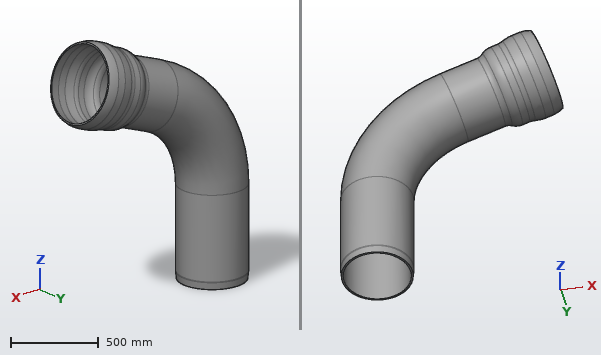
import cadquery as cq
import math

pipe_diameter = 420.0
bore_diameter = 390.0
leg_length = 576.0
bend_radius = 677.0
bend_angle = 70

blend_start = 49.0
taper_start = 44.0
spigot_end_diameter = 410.0

neck_start = 230.0
neck_inflection = 268.0
collar_start = 325.0
collar_end = 370.0
flare_inflection = 401.0
bell_start = 461.0
bell_end = 514.0

collar_outer, collar_inner = 481.0, 450.0
bell_outer, bell_inner = 510.0, 480.0
mouth_outer, mouth_inner = 481.0, 461.0


def s_curve(profile, start, inflection, end):
    """Join two axis-parallel lines by a pair of tangent arcs; points are (radius, station)."""
    fraction = (inflection - start[1]) / (end[1] - start[1])
    middle = (start[0] + fraction * (end[0] - start[0]), inflection)
    return (
        profile
        .tangentArcPoint(middle, relative=False)
        .tangentArcPoint(end, relative=False)
    )


def socket_body(pipe, collar, bell, mouth):
    """Solid of revolution about Z for the leg and socket, from its four diameters."""
    pipe_r, collar_r, bell_r, mouth_r = pipe / 2, collar / 2, bell / 2, mouth / 2
    profile = cq.Workplane("XZ").lineTo(pipe_r, 0).lineTo(pipe_r, neck_start)
    profile = s_curve(profile, (pipe_r, neck_start), neck_inflection, (collar_r, collar_start))
    profile = profile.lineTo(collar_r, collar_end)
    profile = s_curve(profile, (collar_r, collar_end), flare_inflection, (bell_r, bell_start))
    profile = (
        profile
        .lineTo(bell_r, bell_end)
        .tangentArcPoint((mouth_r, leg_length), relative=False)
        .lineTo(0, leg_length)
        .close()
    )
    return profile.revolve(360, (0, 0, 0), (0, 1, 0))


def place_after_bend(body):
    """Move a body standing on the origin to the end of the bend, along the bent axis."""
    angle = math.radians(bend_angle)
    end_x = bend_radius * (1 - math.cos(angle))
    end_z = leg_length + bend_radius * math.sin(angle)
    return body.rotate((0, 0, 0), (0, 1, 0), bend_angle).translate((end_x, 0, end_z))


def bend_body(diameter):
    """Solid elbow that starts at the top of the vertical leg and turns toward +X."""
    return (
        cq.Workplane("XY", origin=(0, 0, leg_length))
        .circle(diameter / 2)
        .revolve(bend_angle, (bend_radius, 0, 0), (bend_radius, 1, 0))
    )


end_inset = (pipe_diameter - spigot_end_diameter) / 2
taper_slope = end_inset / (taper_start + (blend_start - taper_start) / 2)
blend_inset = (blend_start - taper_start) * math.tan(math.atan(taper_slope) / 2)
taper_top_radius = pipe_diameter / 2 - blend_inset
spigot = (
    cq.Workplane("XZ")
    .lineTo(spigot_end_diameter / 2, 0)
    .lineTo(taper_top_radius, taper_start)
    .tangentArcPoint((pipe_diameter / 2, blend_start), relative=False)
    .lineTo(pipe_diameter / 2, leg_length)
    .lineTo(0, leg_length)
    .close()
    .revolve(360, (0, 0, 0), (0, 1, 0))
)
spigot_bore = cq.Workplane("XY").circle(bore_diameter / 2).extrude(leg_length)

leg = spigot.cut(spigot_bore)
bend = bend_body(pipe_diameter).cut(bend_body(bore_diameter))
socket = socket_body(pipe_diameter, collar_outer, bell_outer, mouth_outer).cut(
    socket_body(bore_diameter, collar_inner, bell_inner, mouth_inner)
)

result = leg.union(bend).union(place_after_bend(socket))